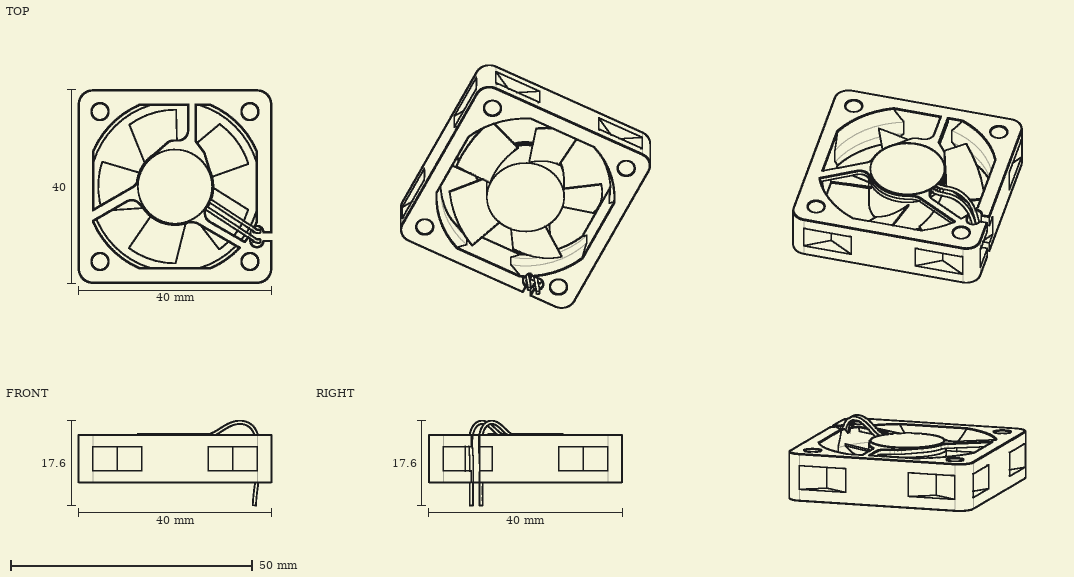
import cadquery as cq
import math

SIDE = 40.0
HEIGHT = 10.0
CORNER_RADIUS = 3.0
EDGE_CHAMFER = 0.15
OPENING_SIDE = 33.7
THROAT_RADIUS = 17.6
MOUTH_RADIUS = 18.35
FLARE_HEIGHT = HEIGHT / 3
HOLE_OFFSET = 15.5
HOLE_DIAMETER = 3.35

POCKET_HEIGHT = HEIGHT / 2
POCKET_DEPTH = 3.0
POCKET_LENGTH = 10.15
POCKET_OFFSET = SIDE / 2 - CORNER_RADIUS - POCKET_LENGTH / 2

PLATE_RADIUS = 7.9
PLATE_THICKNESS = 1.0
PLATE_BOTTOM = HEIGHT - PLATE_THICKNESS
LABEL_RADIUS = 7.7
LABEL_THICKNESS = 0.15
ARM_NEAR_OFFSET = 2.65
ARM_FAR_OFFSET = 4.35
ARM_REACH = 18.8
ARM_FILLET = 2.0
BACK_ARM_DIRECTION = 90
LEFT_ARM_DIRECTION = BACK_ARM_DIRECTION + 120
RIGHT_ARM_DIRECTION = LEFT_ARM_DIRECTION + 120

BACK_CROOK_Y = 9.6
BACK_SHOULDER_X = -1.1
BACK_FAR_ROOT_Y = 9.45
BACK_FLANK = (6.15, 7.0)
BACK_RIM_ANGLES = (19, 130)

LEFT_ARM_NEAR_OFFSET = 2.25
LEFT_FAR_ROOT = 6.7
LEFT_NEAR_ROOT = 8.6
LEFT_RIM_ANGLES = (168, 222)

RIGHT_FAR_ROOT = 7.4
RIGHT_NEAR_ROOT = 8.75
RIGHT_LOWER_START_X = 2.5
RIGHT_UPPER_START_Y = -4.8

OUTLET_X = 16.95
OUTLET_Y = -10.35
OUTLET_RADIUS = 1.3
OUTLET_SLOT_WIDTH = 1.7

WIRE_RADIUS = 0.35
WIRE_SPACING = 2.0
WIRE_HEADING = -0.655
WIRE_DROP_X = 16.8
WIRE_DROP_Y = -9.2
WIRE_BOW = [(6.2, 9.6), (8.1, 10.15), (10.8, 11.75), (13.8, 12.5), (16.0, 11.45), (WIRE_DROP_X, 10.0)]
WIRE_TAIL = [(17.45, 5.2), (16.9, 0.0), (16.45, -4.7)]

ROTOR_RADIUS = 8.0
ROTOR_BOTTOM = 0.2
ROTOR_TOP = 8.15
BLADE_COUNT = 5
BLADE_ANGLE = 107.75
BLADE_TIP_RADIUS = 15.9
BLADE_LOW_Z = 0.5
BLADE_HIGH_Z = 7.1
BLADE_SAG = 0.5
BLADE_THICKNESS = 0.4
BLADE_INNER = 4.0
BLADE_OUTER = 16.8
BLADE_INNER_EDGES = (4.3, -1.9)
BLADE_OUTER_EDGES = (5.25, -5.6)


def fan_opening():
    """Waisted round bore, flattened where it meets the four walls, widened by a chamfer at both mouths."""
    rim_radius = MOUTH_RADIUS + EDGE_CHAMFER
    half_profile = [
        (0, 0),
        (rim_radius, 0),
        (MOUTH_RADIUS, EDGE_CHAMFER),
        (THROAT_RADIUS, FLARE_HEIGHT),
        (THROAT_RADIUS, HEIGHT - FLARE_HEIGHT),
        (MOUTH_RADIUS, HEIGHT - EDGE_CHAMFER),
        (rim_radius, HEIGHT),
        (0, HEIGHT),
    ]
    bore = cq.Workplane("XZ").polyline(half_profile).close().revolve(360, (0, 0, 0), (0, 1, 0))
    square = cq.Workplane("XY").rect(OPENING_SIDE, OPENING_SIDE).extrude(HEIGHT)
    for level, inward in ((0, 1), (HEIGHT, -1)):
        rim = (
            cq.Workplane("XY")
            .workplane(offset=level)
            .rect(OPENING_SIDE + 2 * EDGE_CHAMFER, OPENING_SIDE + 2 * EDGE_CHAMFER)
            .workplane(offset=inward * EDGE_CHAMFER)
            .rect(OPENING_SIDE, OPENING_SIDE)
            .loft(ruled=True)
        )
        square = square.union(rim)
    return bore.intersect(square)


def arm(outline, rounded_corners):
    """Plate-thick arm with the given outline; the corners listed are rounded."""
    body = cq.Workplane("XY").workplane(offset=PLATE_BOTTOM).polyline(outline).close().extrude(PLATE_THICKNESS)
    for x, y in rounded_corners:
        corner = cq.selectors.NearestToPointSelector((x, y, HEIGHT - PLATE_THICKNESS / 2))
        body = body.edges("|Z").edges(corner).fillet(ARM_FILLET)
    return body


def arm_point(direction, along, offset):
    """Point at a distance along an arm direction and a distance to the right of it."""
    a = math.radians(direction)
    return (
        along * math.cos(a) + offset * math.sin(a),
        along * math.sin(a) - offset * math.cos(a),
    )


def rim_point(angle):
    """Point on the rim of the hub plate."""
    a = math.radians(angle)
    return (PLATE_RADIUS * math.cos(a), PLATE_RADIUS * math.sin(a))


def arm_ends(direction, near_offset=ARM_NEAR_OFFSET):
    """The two buried end corners of an arm: far edge first, near edge second."""
    return [
        arm_point(direction, ARM_REACH, ARM_FAR_OFFSET),
        arm_point(direction, ARM_REACH, near_offset),
    ]


def hub_plate():
    """Round plate and its three arms, each flowing into the plate in its own way."""
    plate = cq.Workplane("XY").workplane(offset=PLATE_BOTTOM).circle(PLATE_RADIUS).extrude(PLATE_THICKNESS)

    crook = (ARM_NEAR_OFFSET, BACK_CROOK_Y)
    shoulder = (BACK_SHOULDER_X, BACK_CROOK_Y)
    back_arm = arm(
        [
            (0, 0),
            rim_point(BACK_RIM_ANGLES[0]),
            BACK_FLANK,
            (ARM_FAR_OFFSET, BACK_FAR_ROOT_Y),
            *arm_ends(BACK_ARM_DIRECTION),
            crook,
            shoulder,
            rim_point(BACK_RIM_ANGLES[1]),
        ],
        [crook, shoulder],
    )

    upper = arm_point(LEFT_ARM_DIRECTION, LEFT_FAR_ROOT, ARM_FAR_OFFSET)
    lower = arm_point(LEFT_ARM_DIRECTION, LEFT_NEAR_ROOT, LEFT_ARM_NEAR_OFFSET)
    left_arm = arm(
        [
            (0, 0),
            rim_point(LEFT_RIM_ANGLES[0]),
            upper,
            *arm_ends(LEFT_ARM_DIRECTION, LEFT_ARM_NEAR_OFFSET),
            lower,
            rim_point(LEFT_RIM_ANGLES[1]),
        ],
        [upper, lower],
    )

    inner = arm_point(RIGHT_ARM_DIRECTION, RIGHT_NEAR_ROOT, ARM_NEAR_OFFSET)
    outer = arm_point(RIGHT_ARM_DIRECTION, RIGHT_FAR_ROOT, ARM_FAR_OFFSET)
    right_arm = arm(
        [
            (0, 0),
            (RIGHT_LOWER_START_X, outer[1]),
            outer,
            *arm_ends(RIGHT_ARM_DIRECTION),
            inner,
            (inner[0], RIGHT_UPPER_START_Y),
        ],
        [outer, inner],
    )
    plate = plate.union(back_arm).union(left_arm).union(right_arm)
    return plate.faces(">Z").edges().chamfer(EDGE_CHAMFER)


def side_pockets():
    """Triangular pockets, deepest in the middle, two on each of the four sides."""
    half = POCKET_LENGTH / 2
    pockets = cq.Workplane("XY")
    for turn in range(4):
        for centre in (-POCKET_OFFSET, POCKET_OFFSET):
            pocket = (
                cq.Workplane("XY")
                .workplane(offset=(HEIGHT - POCKET_HEIGHT) / 2)
                .moveTo(centre - half, -SIDE / 2)
                .lineTo(centre + half, -SIDE / 2)
                .lineTo(centre, -SIDE / 2 + POCKET_DEPTH)
                .close()
                .extrude(POCKET_HEIGHT)
                .rotate((0, 0, 0), (0, 0, 1), 90 * turn)
            )
            pockets = pockets.add(pocket)
    return pockets.combine()


def wire_outlet():
    """Long hole down through the wall with a narrower slot out to the +X side."""
    hole = (
        cq.Workplane("XY")
        .center(OUTLET_X, OUTLET_Y)
        .slot2D(OUTLET_SLOT_WIDTH + 2 * OUTLET_RADIUS, 2 * OUTLET_RADIUS, 90)
        .extrude(HEIGHT)
    )
    slot = (
        cq.Workplane("XY")
        .center((OUTLET_X + SIDE / 2) / 2, OUTLET_Y)
        .rect(SIDE / 2 - OUTLET_X, OUTLET_SLOT_WIDTH)
        .extrude(HEIGHT)
    )
    return hole.union(slot)


def wire(shift):
    """Round wire bowing out of the hub plate and hanging down through the outlet."""
    bow = [(x, WIRE_DROP_Y + shift + WIRE_HEADING * (x - WIRE_DROP_X), z) for x, z in WIRE_BOW]
    tail = [(x, WIRE_DROP_Y + shift, z) for x, z in WIRE_TAIL]
    path = cq.Workplane("XY").spline(bow + tail)
    start = cq.Plane(origin=bow[0], normal=path.val().tangentAt(0).toTuple())
    return cq.Workplane(start).circle(WIRE_RADIUS).sweep(path)


def make_frame():
    """Fan frame with its hub plate, label and two wires as one solid."""
    frame = cq.Workplane("XY").rect(SIDE, SIDE).extrude(HEIGHT).edges("|Z").fillet(CORNER_RADIUS)
    frame = (
        frame.faces(">Z")
        .workplane(origin=(0, 0, HEIGHT))
        .rect(2 * HOLE_OFFSET, 2 * HOLE_OFFSET, forConstruction=True)
        .vertices()
        .hole(HOLE_DIAMETER)
    )
    frame = frame.cut(wire_outlet())
    frame = frame.faces("<Z or >Z").edges().chamfer(EDGE_CHAMFER)
    frame = frame.cut(fan_opening()).cut(side_pockets())
    frame = frame.union(hub_plate())
    label = cq.Workplane("XY").workplane(offset=HEIGHT).circle(LABEL_RADIUS).extrude(LABEL_THICKNESS)
    frame = frame.union(label)
    for shift in (0, -WIRE_SPACING):
        frame = frame.union(wire(shift))
    return frame


def blade_section(distance, edges):
    """Cambered blade section on a plane square to the blade's centre line."""
    high, low = edges
    middle = ((high + low) / 2, (BLADE_HIGH_Z + BLADE_LOW_Z) / 2 - BLADE_SAG)
    return (
        cq.Workplane("YZ", origin=(distance, 0, 0))
        .moveTo(low, BLADE_LOW_Z)
        .threePointArc(middle, (high, BLADE_HIGH_Z))
        .lineTo(high, BLADE_HIGH_Z + BLADE_THICKNESS)
        .threePointArc((middle[0], middle[1] + BLADE_THICKNESS), (low, BLADE_LOW_Z + BLADE_THICKNESS))
        .close()
        .wires()
        .val()
    )


def blade():
    """One blade along +X, from inside the rotor hub to the round blade tip."""
    sections = [
        blade_section(BLADE_INNER, BLADE_INNER_EDGES),
        blade_section(BLADE_OUTER, BLADE_OUTER_EDGES),
    ]
    body = cq.Workplane(cq.Solid.makeLoft(sections, True))
    return body.intersect(cq.Workplane("XY").circle(BLADE_TIP_RADIUS).extrude(HEIGHT))


def make_rotor():
    """Round hub with its ring of blades as one solid."""
    rotor = (
        cq.Workplane("XY").workplane(offset=ROTOR_BOTTOM).circle(ROTOR_RADIUS).extrude(ROTOR_TOP - ROTOR_BOTTOM)
    )
    for i in range(BLADE_COUNT):
        turn = BLADE_ANGLE + i * 360 / BLADE_COUNT
        rotor = rotor.union(blade().rotate((0, 0, 0), (0, 0, 1), turn))
    return rotor


frame = make_frame()
rotor = make_rotor()
result = cq.Compound.makeCompound([frame.solids().val(), rotor.solids().val()])